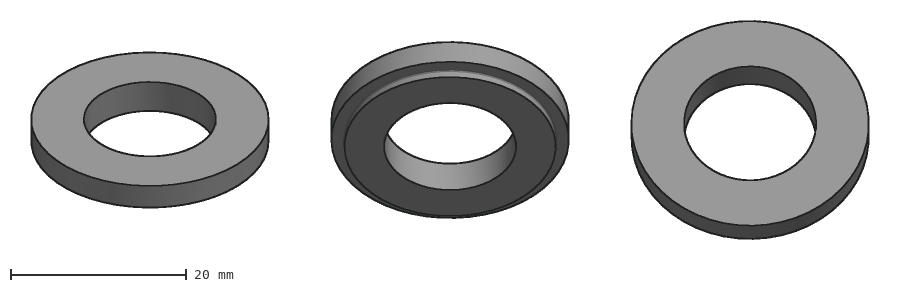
import cadquery as cq

flange_diameter = 27.0
spigot_diameter = 24.0
bore_diameter = 15.0
total_height = 4.0
spigot_height = 1.0
root_fillet_radius = 0.1

flange_height = total_height - spigot_height

spigot = cq.Workplane("XY").circle(spigot_diameter / 2).extrude(spigot_height)

stepped_disc = spigot.faces(">Z").workplane().circle(flange_diameter / 2).extrude(flange_height)

spigot_edges = stepped_disc.edges(cq.selectors.RadiusNthSelector(0))
stepped_disc = spigot_edges.edges(">Z").fillet(root_fillet_radius)

bore = cq.Workplane("XY").circle(bore_diameter / 2).extrude(total_height)

result = stepped_disc.cut(bore)